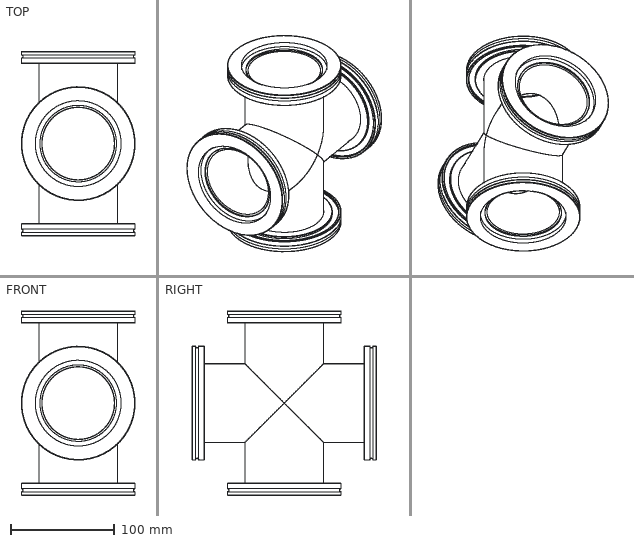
import cadquery as cq

END_TO_END = 178.4
FLANGE_DIAMETER = 110.0
FLANGE_THICKNESS = 12.0
EDGE_CHAMFER = 0.5
FACE_DISTANCE = END_TO_END / 2

TUBE_OUTER_DIAMETER = 76.2
TUBE_INNER_DIAMETER = 70.0

SEAL_RECESS_DIAMETER = 83.0
SEAL_RECESS_DEPTH = 4.6
LIP_DIAMETER = 74.0
LIP_THICKNESS = 1.4
SOCKET_DIAMETER = 76.4
SOCKET_START = SEAL_RECESS_DEPTH + LIP_THICKNESS

BACK_GROOVE_INNER_DIAMETER = 93.0
BACK_GROOVE_OUTER_DIAMETER = 105.0
BACK_GROOVE_DEPTH = 2.0

RIM_GROOVE_DISTANCE = 5.0
RIM_GROOVE_RADIUS = 1.5

BRANCH_ANGLES = (0, 90, 180, 270)


def make_tube():
    """Branch tube along +Z, mitred at 45 degrees on both sides of the X axis."""
    tube_end = FACE_DISTANCE - SOCKET_START
    tube = (
        cq.Workplane("XY")
        .circle(TUBE_OUTER_DIAMETER / 2)
        .circle(TUBE_INNER_DIAMETER / 2)
        .extrude(tube_end)
    )
    mitre_wedge = (
        cq.Workplane("YZ")
        .polyline([(0, 0), (tube_end, tube_end), (-tube_end, tube_end)])
        .close()
        .extrude(TUBE_OUTER_DIAMETER, both=True)
    )
    return tube.intersect(mitre_wedge)


def make_flange():
    """Flange revolved about Z, with its sealing face at the top of the branch."""
    rim = FLANGE_DIAMETER / 2
    face = FACE_DISTANCE
    back = face - FLANGE_THICKNESS
    recess_floor = face - SEAL_RECESS_DEPTH
    socket_floor = face - SOCKET_START
    groove_inner = BACK_GROOVE_INNER_DIAMETER / 2
    groove_outer = BACK_GROOVE_OUTER_DIAMETER / 2
    back_chamfer_end = back + EDGE_CHAMFER
    groove_floor = back + BACK_GROOVE_DEPTH
    clamp_middle = face - RIM_GROOVE_DISTANCE
    clamp_top = clamp_middle + RIM_GROOVE_RADIUS
    clamp_bottom = clamp_middle - RIM_GROOVE_RADIUS
    return (
        cq.Workplane("XZ")
        .moveTo(SEAL_RECESS_DIAMETER / 2, face)
        .lineTo(rim - EDGE_CHAMFER, face)
        .lineTo(rim, face - EDGE_CHAMFER)
        .lineTo(rim, clamp_top)
        .threePointArc((rim - RIM_GROOVE_RADIUS, clamp_middle), (rim, clamp_bottom))
        .lineTo(rim, back_chamfer_end)
        .lineTo(rim - EDGE_CHAMFER, back)
        .lineTo(groove_outer + EDGE_CHAMFER, back)
        .lineTo(groove_outer, back_chamfer_end)
        .lineTo(groove_outer, groove_floor)
        .lineTo(groove_inner, groove_floor)
        .lineTo(groove_inner, back_chamfer_end)
        .lineTo(groove_inner - EDGE_CHAMFER, back)
        .lineTo(SOCKET_DIAMETER / 2, back)
        .lineTo(SOCKET_DIAMETER / 2, socket_floor)
        .lineTo(LIP_DIAMETER / 2, socket_floor)
        .lineTo(LIP_DIAMETER / 2, recess_floor)
        .lineTo(SEAL_RECESS_DIAMETER / 2, recess_floor)
        .close()
        .revolve(360, (0, 0, 0), (0, 1, 0))
    )


bodies = []
for angle in BRANCH_ANGLES:
    for body in (make_tube(), make_flange()):
        bodies.append(body.rotate((0, 0, 0), (1, 0, 0), angle).val())

result = cq.Compound.makeCompound(bodies)